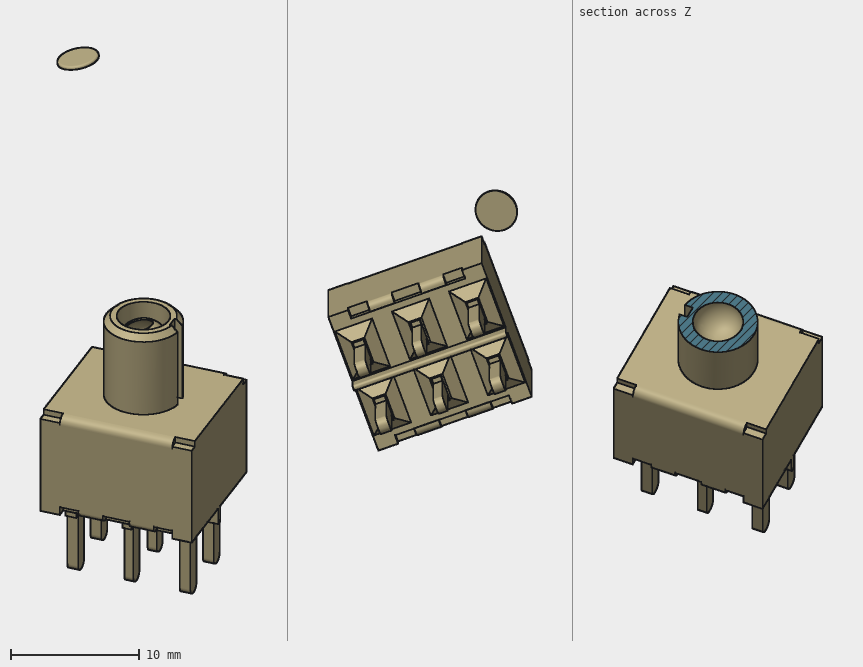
import cadquery as cq
import math

case_length = 12.7
case_width = 11.45
case_bottom = 6.7
case_top = 15.6
post_length = 1.65
cover_bend_radius = 0.7
notch_depth = 0.5
cover_bottom = 7.4
flap_depth = 0.73
tab_length = 2.05
tab_offset = 2.15
tab_bottom = 6.75
tab_bend_radius = 0.5

bushing_diameter = 6.22
bushing_top = 22.7
bushing_chamfer = 0.5
bore_diameter = 4.2
keyway_width = 1.0
keyway_floor = 2.4
ball_center_height = 20.1
ball_wall = 0.15
lever_hole_diameter = 2.23

cap_diameter = 3.3
cap_thickness = 0.25
cap_edge_radius = 0.2
lever_tilt = 12.5
cap_distance = 25.35

pin_pitch = 4.72
pin_row_offset = 2.4
pin_width = 1.25
pin_tip_radius = 0.6
outer_pin_thickness = 0.9
middle_pin_thickness = 0.75
shoulder_width = 2.1
shoulder_bottom = 5.22
seal_bottom = 5.7
seal_end_length = 1.1
seal_end_width = 2.1

fin_thickness = 0.45
fin_bottom = 5.2
fin_edge_radius = 0.205

cover_length = case_length - 2 * post_length
case_half_width = case_width / 2
ball_radius = bore_diameter / 2
seal_height = case_bottom - seal_bottom


def block(length, width, bottom, top, x=0.0, y=0.0):
    """Upright box centered at (x, y)."""
    return cq.Workplane("XY", origin=(x, y, bottom)).box(
        length, width, top - bottom, centered=(True, True, False)
    )


def make_case():
    case = block(case_length, case_width, case_bottom, case_top)
    case = case.edges("|X and >Z").fillet(cover_bend_radius)
    for x_side in (-1, 1):
        for y_side in (-1, 1):
            x = x_side * (case_length - post_length) / 2
            y = y_side * (case_half_width - cover_bend_radius / 2)
            notch_floor = case_top - notch_depth
            case = case.cut(block(post_length, cover_bend_radius, notch_floor, case_top, x, y))
            case = case.union(block(post_length, cover_bend_radius, case_bottom, notch_floor, x, y))
    for y_side in (-1, 1):
        y = y_side * (case_half_width - flap_depth / 2)
        case = case.cut(block(cover_length, flap_depth, case_bottom, cover_bottom, 0, y))
        for x in (-tab_offset, tab_offset):
            tab = block(tab_length, flap_depth, tab_bottom, cover_bottom, x, y)
            outer_edge = ">Y" if y_side > 0 else "<Y"
            tab = tab.faces(outer_edge).edges("<Z").fillet(tab_bend_radius)
            case = case.union(tab)
    return case


def make_bushing():
    bushing = (
        cq.Workplane("XY", origin=(0, 0, case_top))
        .circle(bushing_diameter / 2)
        .extrude(bushing_top - case_top)
        .faces(">Z")
        .chamfer(bushing_chamfer)
    )
    keyway_depth = bushing_diameter / 2 - keyway_floor
    keyway_center = keyway_floor + keyway_depth / 2
    return bushing.cut(block(keyway_depth, keyway_width, case_top, bushing_top, keyway_center))


def make_bore():
    """Bore from the bushing top down to the upper half of the ball."""
    ball_top = ball_center_height + ball_radius
    arc_step = ball_radius * math.sqrt(0.5)
    return (
        cq.Workplane("XZ")
        .moveTo(0, ball_top)
        .threePointArc((arc_step, ball_center_height + arc_step), (ball_radius, ball_center_height))
        .lineTo(ball_radius, bushing_top)
        .lineTo(0, bushing_top)
        .close()
        .revolve(360, (0, 0), (0, 1))
    )


def make_ball_cavity():
    """Hollow inside of the ball, opened by the tilted hole for the lever."""
    hollow = cq.Workplane("XY", origin=(0, 0, ball_center_height)).sphere(ball_radius - ball_wall)
    lever_hole = cq.Workplane(lever_plane(0)).circle(lever_hole_diameter / 2).extrude(ball_radius)
    return hollow.union(lever_hole)


def make_pin(x, y, thickness):
    shank = block(thickness, pin_width, 0, case_bottom, x, y)
    shank = shank.edges("|X and <Z").fillet(pin_tip_radius)
    shoulder = block(thickness, shoulder_width, shoulder_bottom, case_bottom, x, y)
    seal = (
        cq.Workplane("XY", origin=(x, y, seal_bottom))
        .rect(seal_end_length, seal_end_width)
        .workplane(offset=seal_height)
        .rect(seal_end_length + 2 * seal_height, seal_end_width + 2 * seal_height)
        .loft()
    )
    return shank.union(shoulder).union(seal)


def make_fin():
    fin = block(case_length, fin_thickness, fin_bottom, case_bottom)
    return fin.edges("|X and <Z").fillet(fin_edge_radius)


def lever_plane(distance):
    """Plane square to the tilted lever axis, at a distance from the ball center."""
    tilt = math.radians(lever_tilt)
    axis = (-math.sin(tilt), 0, math.cos(tilt))
    origin = (distance * axis[0], 0, ball_center_height + distance * axis[2])
    return cq.Plane(origin=origin, xDir=(axis[2], 0, -axis[0]), normal=axis)


def make_switch_body():
    switch = make_case().union(make_bushing()).union(make_fin())
    for column in (-1, 0, 1):
        thickness = middle_pin_thickness if column == 0 else outer_pin_thickness
        for y in (-pin_row_offset, pin_row_offset):
            switch = switch.union(make_pin(column * pin_pitch, y, thickness))
    return switch.cut(make_bore()).cut(make_ball_cavity())


def make_lever_cap():
    """Thin disc with a rounded upper edge."""
    return (
        cq.Workplane(lever_plane(cap_distance))
        .circle(cap_diameter / 2)
        .extrude(cap_thickness)
        .faces(">Z")
        .edges()
        .fillet(cap_edge_radius)
    )


switch_body = make_switch_body()
lever_cap = make_lever_cap()

result = cq.Compound.makeCompound([switch_body.val(), lever_cap.val()])